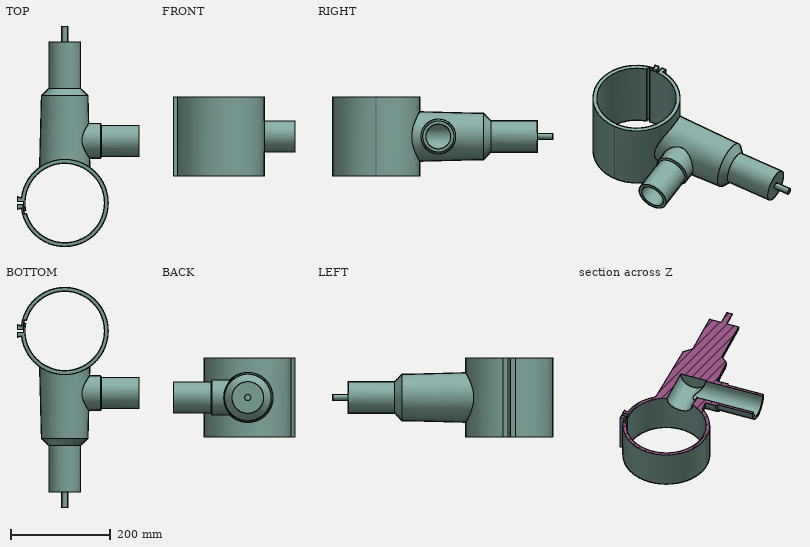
import cadquery as cq
import math

ring_height = 160.0
inner_radius = 80.0
outer_radius = 88.0

ear_tip_x = -95.5
ear_root_x = -84.5
ear_tip_half_width = 13.0
ear_root_half_width = 9.5
split_half_width = 2.9
lap_radius = 84.0
lap_clearance = 0.5
tongue_end_angle = 191.0
recess_end_angle = 195.5

neck_start_y = 62.3
neck_start_radius = 51.0
shoulder_start_y = 217.0
shoulder_start_radius = 47.0
shoulder_end_y = 231.2
spigot_radius = 32.0
spigot_end_y = 325.5
rod_radius = 6.2
rod_end_y = 444.5 - outer_radius

branch_y = 125.5
collar_radius = 35.0
collar_end_x = 72.0
collar_chamfer_end_x = 74.5
branch_radius = 31.5
branch_end_x = 150.5

neck_bore_radius = 27.0
branch_bore_radius = 25.0
neck_bore_end_y = branch_y + neck_bore_radius


def bottom_plane():
    return cq.Workplane("XY").workplane(offset=-ring_height / 2)


def extrude_full_height(sketch):
    return sketch.extrude(ring_height)


def cylinder_z(radius):
    return extrude_full_height(bottom_plane().circle(radius))


def polar(radius, angle):
    angle = math.radians(angle)
    return (radius * math.cos(angle), radius * math.sin(angle))


def ring_sector(r_in, r_out, start_angle, end_angle):
    """Full-height piece of a ring with radial ends."""
    middle_angle = (start_angle + end_angle) / 2
    return extrude_full_height(
        bottom_plane()
        .moveTo(*polar(r_in, start_angle))
        .lineTo(*polar(r_out, start_angle))
        .threePointArc(polar(r_out, middle_angle), polar(r_out, end_angle))
        .lineTo(*polar(r_in, end_angle))
        .threePointArc(polar(r_in, middle_angle), polar(r_in, start_angle))
        .close()
    )


def make_ear(side):
    """Clamping ear beside the split; side is +1 or -1 along Y."""
    return extrude_full_height(
        bottom_plane().polyline([
            (ear_tip_x, side * split_half_width),
            (ear_tip_x, side * ear_tip_half_width),
            (ear_root_x, side * ear_root_half_width),
            (ear_root_x, side * split_half_width),
        ]).close()
    )


def split_ring(body):
    """Open the split and leave a thin tongue lapping into a recess behind it."""
    tongue_radius = lap_radius - lap_clearance
    split_angle = math.degrees(math.asin(split_half_width / lap_radius))
    slot_center_x = (ear_tip_x - tongue_radius) / 2
    slot_length = -ear_tip_x - tongue_radius
    slot = extrude_full_height(
        bottom_plane().center(slot_center_x, 0).rect(slot_length, 2 * split_half_width)
    )
    lap_gap = ring_sector(tongue_radius, lap_radius, 180 + split_angle / 2, recess_end_angle)
    recess = ring_sector(inner_radius - 4.5, lap_radius, tongue_end_angle, recess_end_angle)
    return body.cut(slot).cut(lap_gap).cut(recess)


def make_neck():
    profile = [
        (0, neck_start_y),
        (neck_start_radius, neck_start_y),
        (shoulder_start_radius, shoulder_start_y),
        (spigot_radius, shoulder_end_y),
        (spigot_radius, spigot_end_y),
        (rod_radius, spigot_end_y),
        (rod_radius, rod_end_y),
        (0, rod_end_y),
    ]
    return cq.Workplane("XY").polyline(profile).close().revolve(360, (0, 0), (0, 1))


def make_branch():
    profile = [
        (0, branch_y),
        (0, branch_y + collar_radius),
        (collar_end_x, branch_y + collar_radius),
        (collar_chamfer_end_x, branch_y + branch_radius),
        (branch_end_x, branch_y + branch_radius),
        (branch_end_x, branch_y),
    ]
    return cq.Workplane("XY").polyline(profile).close().revolve(360, (0, branch_y), (1, branch_y))


def make_passage():
    """Blind bore along the neck, meeting a bore through the branch end."""
    neck_bore = cq.Workplane("XZ").circle(neck_bore_radius).extrude(-neck_bore_end_y)
    branch_bore = cq.Workplane("YZ").center(branch_y, 0).circle(branch_bore_radius).extrude(branch_end_x)
    return neck_bore.union(branch_bore)


ring = cylinder_z(outer_radius).union(make_ear(1)).union(make_ear(-1))
body = ring.union(make_neck()).union(make_branch())
body = body.cut(cylinder_z(inner_radius)).cut(make_passage())
result = split_ring(body)